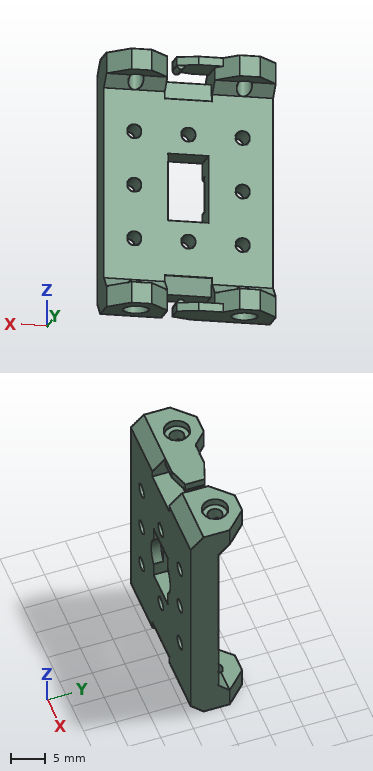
import cadquery as cq

width = 25.0
depth = 9.0
height = 38.0

plate_thickness = 4.3
wall_thickness = 3.1
front_chamfer = 2.0
inner_chamfer = 1.7

ear_width = 9.0
ear_chamfer = 3.0
ear_hole_x = 8.0
ear_hole_y = 5.4
ear_hole_diameter = 2.2
counterbore_diameter = 3.8
counterbore_depth = 1.2

arm_thickness = 1.25
arm_front_y = 2.0
arm_back_y = 7.0
arm_taper_start_x = -0.9
arm_tip_x = 2.1
arm_tip_taper = 1.0
bump_radius = 0.55
bump_x = 1.5
bump_length = arm_back_y - arm_front_y - 2 * arm_tip_taper

relief_rim_y = 3.5
relief_ledge_y = 4.0
relief_height = 2.7

plate_hole_pitch = 8.0
plate_hole_diameter = 2.1
window_width = 6.0
window_height = 10.0
recess_diameter = 8.0
recess_depth = 1.5

half_width = width / 2
half_height = height / 2
wall_inner_z = half_height - wall_thickness
gap_half_width = half_width - ear_width
arm_center_y = (arm_front_y + arm_back_y) / 2


def channel_body():
    """Plate with an end wall at the top and bottom, extruded along X."""
    upper = [
        (0, half_height - front_chamfer),
        (front_chamfer, half_height),
        (depth, half_height),
        (depth, wall_inner_z),
        (plate_thickness + inner_chamfer, wall_inner_z),
        (plate_thickness, wall_inner_z - inner_chamfer),
    ]
    lower = [(y, -z) for y, z in reversed(upper)]
    profile = cq.Workplane("YZ").polyline(upper + lower).close()
    return profile.extrude(half_width, both=True)


def ear_outline(center_x):
    """Full-height prism of one ear with both back corners chamfered."""
    ear = cq.Workplane("XY").box(ear_width, depth, height, centered=(True, False, True))
    ear = ear.edges("|Z and >Y").chamfer(ear_chamfer)
    return ear.translate((center_x, 0, 0))


def wall_gap():
    """Block that fills the space between the ears of the top wall."""
    return (
        cq.Workplane("XY")
        .workplane(offset=wall_inner_z)
        .rect(2 * gap_half_width, 2 * depth)
        .extrude(wall_thickness)
    )


def spring_arm():
    """Tapered arm on the top wall with a half-round bump under its tip."""
    root_x = -ear_hole_x
    arm = (
        cq.Workplane("XY")
        .workplane(offset=half_height - arm_thickness)
        .polyline([
            (root_x, arm_front_y),
            (arm_taper_start_x, arm_front_y),
            (arm_tip_x, arm_front_y + arm_tip_taper),
            (arm_tip_x, arm_back_y - arm_tip_taper),
            (arm_taper_start_x, arm_back_y),
            (root_x, arm_back_y),
        ])
        .close()
        .extrude(arm_thickness)
    )
    bump = (
        cq.Workplane("XZ")
        .center(bump_x, half_height - arm_thickness)
        .circle(bump_radius)
        .extrude(bump_length / 2, both=True)
        .translate((0, arm_center_y, 0))
    )
    return arm.union(bump)


def plate_relief():
    """Clearance for the bump: a steep slope ending on a narrow ledge."""
    ledge_z = wall_inner_z - relief_height
    profile = cq.Workplane("YZ").polyline([
        (relief_rim_y, wall_inner_z),
        (depth, wall_inner_z),
        (depth, ledge_z),
        (relief_ledge_y, ledge_z),
    ])
    return profile.close().extrude(gap_half_width, both=True)


def ear_holes():
    """Counterbored screw holes through the top wall."""
    top = cq.Workplane("XY").workplane(offset=half_height)
    spots = [(-ear_hole_x, ear_hole_y), (ear_hole_x, ear_hole_y)]
    holes = top.pushPoints(spots).circle(ear_hole_diameter / 2).extrude(-2 * wall_thickness)
    bores = top.pushPoints(spots).circle(counterbore_diameter / 2).extrude(-counterbore_depth)
    return holes.union(bores)


def plate_openings():
    """Ring of eight holes around a window with a round recess at the front."""
    front = cq.Workplane("XZ")
    steps = (-1, 0, 1)
    spots = [
        (i * plate_hole_pitch, j * plate_hole_pitch)
        for i in steps
        for j in steps
        if (i, j) != (0, 0)
    ]
    holes = front.pushPoints(spots).circle(plate_hole_diameter / 2).extrude(-plate_thickness)
    window = front.rect(window_width, window_height).extrude(-plate_thickness)
    recess = front.circle(recess_diameter / 2).extrude(-recess_depth)
    return holes.union(window).union(recess)


def both_ends(top_feature):
    """Top feature together with its mirror image at the bottom."""
    return top_feature.union(top_feature.mirror("XY"))


ear_center_x = half_width - ear_width / 2
plate_zone = cq.Workplane("XY").box(width, plate_thickness, height, centered=(True, False, True))
envelope = plate_zone.union(ear_outline(-ear_center_x)).union(ear_outline(ear_center_x))

body = channel_body().intersect(envelope)
body = body.cut(both_ends(wall_gap())).cut(both_ends(plate_relief()))
body = body.union(both_ends(spring_arm()))
result = body.cut(both_ends(ear_holes())).cut(plate_openings())